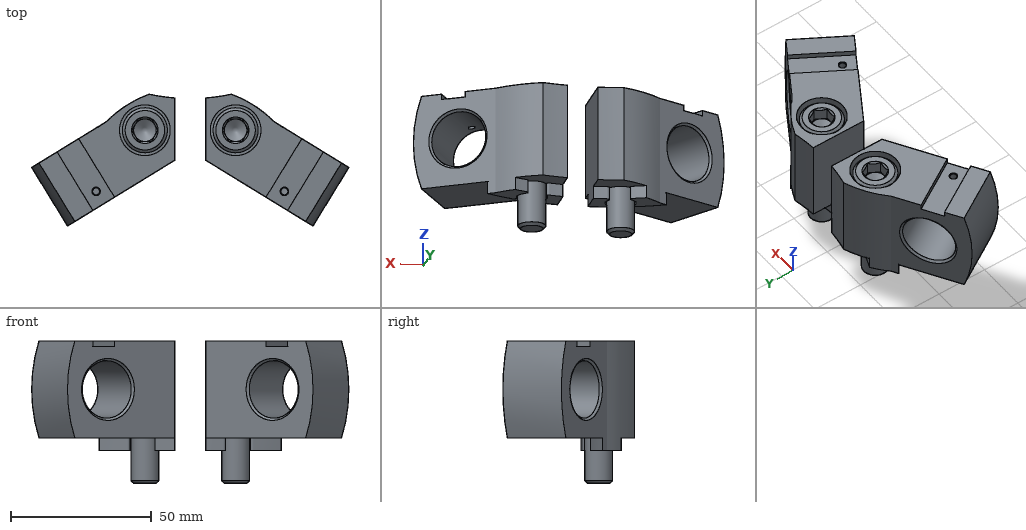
import cadquery as cq
import math


swing_angle = math.radians(31.5)
screw_circle_radius = 65.0
screw_x = 16.1
screw_y = -math.sqrt(screw_circle_radius**2 - screw_x**2)
inner_wall_x = 5.5

block_height = 34.5
front_offset = 14.65
back_offset = 9.75
end_offset = 41.2
end_radius = 50.0
back_bulge_radius = 42.0
back_bulge_y = screw_y - 26.55
nose_radius = 70.0
nose_wall_y = screw_y + 11.5

bore_diameter = 20.38
bore_entry_diameter = 22.0
bore_offset = 24.35

groove_width = 9.0
groove_depth = 2.0
groove_offset = 26.1
set_hole_diameter = 2.46
set_hole_entry_diameter = 3.0
set_hole_front_distance = 5.2

key_height = 4.5
key_outer_radius = 69.5
key_inner_radius = 59.8
key_corner_radius = 0.9

screw_diameter = 10.0
screw_length = 40.0
screw_tip_chamfer = 1.0
head_diameter = 16.0
head_height = 10.0
head_chamfer = 1.0
head_recess = 0.6
hex_across_flats = 8.0
hex_depth = 5.0
hex_entry_diameter = 9.4
drill_point_half_angle = math.radians(60)
screw_hole_diameter = 11.0
counterbore_diameter = 18.0
counterbore_depth = head_recess + head_height

cutter_reach = 2 * front_offset
tolerance = 0.01

along = cq.Vector(-math.cos(swing_angle), -math.sin(swing_angle))
outward = cq.Vector(math.sin(swing_angle), -math.cos(swing_angle))
screw_axis = cq.Vector(-screw_x, screw_y)
up = cq.Vector(0, 0, 1)


def arm_point(distance_along, distance_outward, z=0.0):
    """Point given by its distances from the screw axis along the left arm."""
    return screw_axis + along * distance_along + outward * distance_outward + up * z


def cone(start_diameter, end_diameter, height, base, direction):
    return cq.Workplane(obj=cq.Solid.makeCone(start_diameter / 2, end_diameter / 2, height, base, direction))


def cylinder(diameter, height, base, direction):
    return cq.Workplane(obj=cq.Solid.makeCylinder(diameter / 2, height, base, direction))


def arm_plane(z):
    """Horizontal plane with its origin on the screw axis and its X direction along the arm."""
    return cq.Plane(origin=(-screw_x, screw_y, z), xDir=along.toTuple(), normal=(0, 0, 1))


def clamp_prism(z_bottom, height):
    """Clamp plan outline, extruded, with a square arm end."""
    wall_front_along = (inner_wall_x - screw_x + front_offset * outward.x) / -along.x
    wall_front = arm_point(wall_front_along, front_offset)
    wall_back = (-inner_wall_x, nose_wall_y)

    nose_y = nose_wall_y + math.sqrt(nose_radius**2 - inner_wall_x**2)
    centre_gap = nose_y - back_bulge_y
    tip_rise = (centre_gap**2 + back_bulge_radius**2 - nose_radius**2) / (2 * centre_gap)
    tip_x = -math.sqrt(back_bulge_radius**2 - tip_rise**2)
    tip = (tip_x, back_bulge_y + tip_rise)
    nose_mid_x = (tip_x - inner_wall_x) / 2
    nose_mid = (nose_mid_x, nose_y - math.sqrt(nose_radius**2 - nose_mid_x**2))

    to_bulge_centre = cq.Vector(0, back_bulge_y) - screw_axis
    centre_depth = to_bulge_centre.dot(outward) + back_offset
    half_chord = math.sqrt(back_bulge_radius**2 - centre_depth**2)
    corner = arm_point(to_bulge_centre.dot(along) + half_chord, -back_offset)
    bulge_mid_x = (corner.x + tip_x) / 2
    bulge_mid = (bulge_mid_x, back_bulge_y + math.sqrt(back_bulge_radius**2 - bulge_mid_x**2))

    end_back = arm_point(end_offset, -back_offset)
    end_front = arm_point(end_offset, front_offset)
    return (
        cq.Workplane("XY", origin=(0, 0, z_bottom))
        .moveTo(wall_front.x, wall_front.y)
        .lineTo(*wall_back)
        .threePointArc(nose_mid, tip)
        .threePointArc(bulge_mid, (corner.x, corner.y))
        .lineTo(end_back.x, end_back.y)
        .lineTo(end_front.x, end_front.y)
        .close()
        .extrude(height)
    )


def end_crown():
    """Lying cylinder whose far side is the crowned arm end."""
    base = arm_point(end_offset - end_radius, -cutter_reach, -block_height / 2)
    return cylinder(2 * end_radius, 2 * cutter_reach, base, outward)


def cross_bore():
    """Bore from the back face to the front face, opened at both ends."""
    arm_width = front_offset + back_offset
    chamfer = (bore_entry_diameter - bore_diameter) / 2
    back = arm_point(bore_offset, -back_offset, -block_height / 2)
    front = arm_point(bore_offset, front_offset, -block_height / 2)
    return (
        cylinder(bore_diameter, arm_width, back, outward)
        .union(cone(bore_entry_diameter, bore_diameter, chamfer, back, outward))
        .union(cone(bore_entry_diameter, bore_diameter, chamfer, front, -outward))
    )


def groove():
    """Square groove over the full width of the arm."""
    return (
        cq.Workplane(arm_plane(-groove_depth))
        .center(groove_offset, 0)
        .rect(groove_width, 2 * cutter_reach)
        .extrude(groove_depth)
    )


def set_hole():
    """Small hole from the groove floor into the cross bore."""
    chamfer = (set_hole_entry_diameter - set_hole_diameter) / 2
    top = arm_point(groove_offset, front_offset - set_hole_front_distance, -groove_depth)
    depth = block_height / 2 - groove_depth
    return (
        cylinder(set_hole_diameter, depth, top, -up)
        .union(cone(set_hole_entry_diameter, set_hole_diameter, chamfer, top, -up))
    )


def screw_hole():
    """Counterbored clearance hole."""
    return (
        cylinder(screw_hole_diameter, block_height + key_height, screw_axis, -up)
        .union(cylinder(counterbore_diameter, counterbore_depth, screw_axis, -up))
    )


def key():
    """Ring piece below the block, cut in two by the screw hole."""
    ring = (
        cq.Workplane("XY", origin=(0, 0, -block_height - key_height))
        .circle(key_outer_radius)
        .circle(key_inner_radius)
        .extrude(key_height)
    )
    pieces = clamp_prism(-block_height - key_height, key_height).intersect(ring).cut(screw_hole())

    def on_screw_hole(edge):
        midpoint = edge.Center()
        distance = math.hypot(midpoint.x - screw_axis.x, midpoint.y - screw_axis.y)
        return abs(distance - screw_hole_diameter / 2) < tolerance

    return pieces.edges("|Z").filter(on_screw_hole).fillet(key_corner_radius)


def make_clamp():
    """Left clamp."""
    return (
        clamp_prism(-block_height, block_height)
        .intersect(end_crown())
        .cut(groove())
        .cut(cross_bore())
        .cut(set_hole())
        .cut(screw_hole())
        .union(key())
    )


def hex_socket(top):
    """Hexagon socket with a drill point below and a conical entry."""
    hex_across_corners = hex_across_flats / math.cos(math.pi / 6)
    entry_depth = (hex_entry_diameter - hex_across_flats) / 2
    point_depth = hex_across_flats / 2 / math.tan(drill_point_half_angle)
    return (
        cq.Workplane("XY", origin=top.toTuple())
        .polygon(6, hex_across_corners)
        .extrude(-hex_depth)
        .union(cone(hex_across_flats, 0, point_depth, top - up * hex_depth, -up))
        .union(cone(hex_entry_diameter, hex_across_flats, entry_depth, top, -up))
    )


def make_screw():
    """Left socket head screw."""
    top = screw_axis - up * head_recess
    head = cylinder(head_diameter, head_height, top, -up).faces(">Z").chamfer(head_chamfer)
    shank = cylinder(screw_diameter, screw_length, top - up * head_height, -up)
    shank = shank.faces("<Z").chamfer(screw_tip_chamfer)
    return head.union(shank).cut(hex_socket(top))


bodies = []
for left_body in (make_clamp(), make_screw()):
    right_body = left_body.mirror("YZ")
    bodies += [left_body.val(), right_body.val()]

result = cq.Compound.makeCompound(bodies)